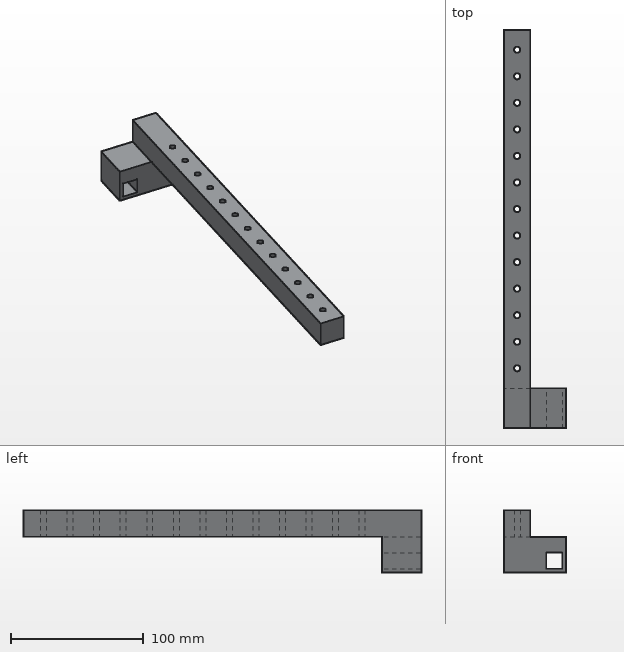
import cadquery as cq

bar_length = 300.0
bar_side = bar_length / 15

block_depth = 30.0
block_height = 27.0
block_width = bar_side + block_height

socket_side = 12.0
socket_wall = 3.0

hole_count = 13
hole_diameter = 4.5
hole_pitch = bar_side
last_hole_to_end = 15.0


def corner_box(x, y, z, width, depth, height):
    """Box whose lowest corner is at (x, y, z)."""
    return cq.Workplane("XY").box(width, depth, height, centered=False).translate((x, y, z))


bar = corner_box(0, 0, block_height, bar_side, bar_length, bar_side)
block = corner_box(0, 0, 0, block_width, block_depth, block_height)

socket = corner_box(
    block_width - socket_wall - socket_side, 0, socket_wall,
    socket_side, block_depth, socket_side,
)

hole_centers = [
    (bar_side / 2, bar_length - last_hole_to_end - i * hole_pitch) for i in range(hole_count)
]
holes = (
    cq.Workplane("XY", origin=(0, 0, block_height))
    .pushPoints(hole_centers)
    .circle(hole_diameter / 2)
    .extrude(bar_side)
)

result = bar.union(block).cut(socket).cut(holes)